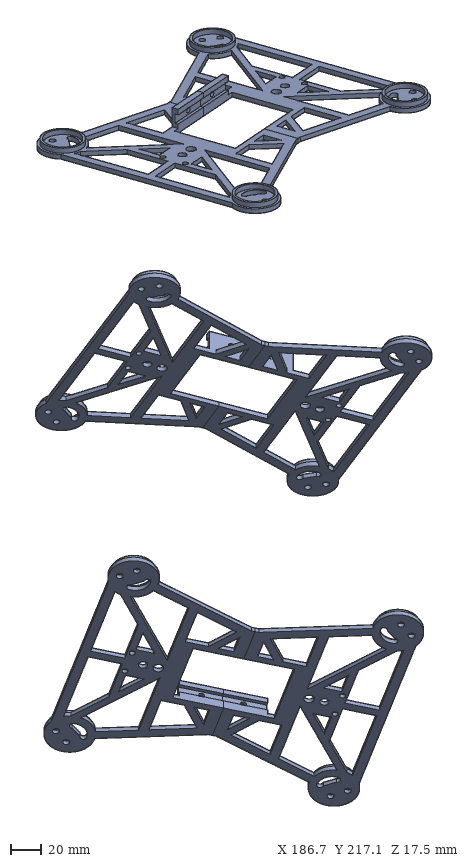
import cadquery as cq
import math


total_x = 186.7
total_y = 217.1
plate_thickness = 3.5

mount_d = 34.3
rim_outer_d = 30.5
rim_inner_d = 26.7
rim_top_z = 7.2
mount_x = (total_x - mount_d) / 2
mount_y = (total_y - mount_d) / 2
screw_d = 4.5
screw_dx = 8.0
screw_dy = 9.5
slot_outer_r = 11.3

end_bar_y = 106.5
bar_width = 6.5
rib_width = 5.6
waist_half_x = 51.0
waist_y = 2.5
leg_slope = 2.9
leg_width_x = 7.0
cross_bar_y = 48.5
diagonal_slope = 0.79
diagonal_height = 6.7
diagonal_foot_x = 8.5

hub_y = 76.2
hub_bar_width = 5.0
hub_half_x = 12.5
hub_screw_d = 4.0
hub_screw_x = 9.0
hub_screw_y = 72.7
small_hole_d = 6.0
small_hole_y = 62.8
large_hole_d = 7.0
large_hole_y = 52.1

opening_half_x = 24.0
opening_half_y = 35.2
strip_width = 4.8
strip_outer_x = opening_half_x + strip_width
waist_bar_y = 8.3
strut_slope = 0.77
strut_low_y = 19.0
strut_height = 6.7

bracket_half_y = 30.6
bracket_top_z = 17.5
bracket_web = 2.4
groove_low_z = 6.7
groove_high_z = 13.5
bracket_hole_d = 4.0
bracket_hole_y = 14.5
bracket_hole_z = 10.0


def leg_outer_x(y):
    """Distance from the YZ plane to the outer edge of a leg."""
    return waist_half_x + (y - waist_y) / leg_slope


def leg_inner_x(y):
    """Distance from the YZ plane to the inner edge of a leg."""
    return leg_outer_x(y) - leg_width_x


def diagonal_x(y):
    """Distance from the YZ plane to the lower edge of a diagonal."""
    return diagonal_foot_x + (y - cross_bar_y) / diagonal_slope


def diagonal_upper_x(y):
    """Distance from the YZ plane to the upper edge of a diagonal."""
    return diagonal_x(y - diagonal_height)


def prism(points, height):
    return cq.Workplane("XY").polyline(points).close().extrude(height)


def both_sides(shape):
    return shape.union(shape.mirror("YZ"))


def discs(diameter, points, z_from, z_to):
    base = cq.Workplane("XY").workplane(offset=z_from)
    return base.pushPoints(points).circle(diameter / 2).extrude(z_to - z_from)


def plate_outline():
    left = [
        (0, 0),
        (-waist_half_x, 0),
        (-waist_half_x, waist_y),
        (-leg_outer_x(mount_y), mount_y),
        (-mount_x, end_bar_y),
        (0, end_bar_y),
    ]
    return both_sides(prism(left, plate_thickness))


def windows():
    """Openings between the bars of the frame."""
    end_window_y = end_bar_y - bar_width
    end_window = [
        (-rib_width / 2, end_window_y),
        (-rib_width / 2, hub_y),
        (-diagonal_upper_x(hub_y), hub_y),
        (-diagonal_upper_x(end_window_y), end_window_y),
    ]

    base_length = leg_inner_x(cross_bar_y) - diagonal_foot_x
    apex_y = cross_bar_y + base_length / (1 / diagonal_slope - 1 / leg_slope)
    outer_window = [
        (-diagonal_foot_x, cross_bar_y),
        (-leg_inner_x(cross_bar_y), cross_bar_y),
        (-leg_inner_x(apex_y), apex_y),
    ]

    hub_window_y = hub_y - hub_bar_width
    hub_foot_y = cross_bar_y + diagonal_height + (hub_half_x - diagonal_foot_x) * diagonal_slope
    hub_window = [
        (-hub_half_x, hub_window_y),
        (-diagonal_upper_x(hub_window_y), hub_window_y),
        (-hub_half_x, hub_foot_y),
    ]

    strut_high_y = strut_low_y + strut_height
    side_window_y = cross_bar_y - bar_width
    gap_x = leg_inner_x(strut_high_y) - strip_outer_x
    corner_y = strut_high_y - gap_x / (1 / strut_slope + 1 / leg_slope)
    side_window = [
        (-leg_inner_x(side_window_y), side_window_y),
        (-strip_outer_x, side_window_y),
        (-strip_outer_x, strut_high_y),
        (-leg_inner_x(corner_y), corner_y),
    ]

    waist_window = [
        (-strip_outer_x, waist_bar_y),
        (-strip_outer_x, strut_low_y),
        (-strip_outer_x - (strut_low_y - waist_bar_y) / strut_slope, waist_bar_y),
    ]

    opening = [
        (0, 0),
        (-opening_half_x, 0),
        (-opening_half_x, opening_half_y),
        (0, opening_half_y),
    ]

    cut = prism(opening, plate_thickness)
    for points in (end_window, outer_window, hub_window, side_window, waist_window):
        cut = cut.union(prism(points, plate_thickness))
    return both_sides(cut)


def hub_holes():
    screw_points = [(-hub_screw_x, hub_screw_y), (hub_screw_x, hub_screw_y)]
    cut = discs(hub_screw_d, screw_points, 0, plate_thickness)
    cut = cut.union(discs(small_hole_d, [(0, small_hole_y)], 0, plate_thickness))
    return cut.union(discs(large_hole_d, [(0, large_hole_y)], 0, plate_thickness))


def motor_mounts():
    """Round pads, each with a raised rim."""
    center = [(-mount_x, mount_y)]
    rim = discs(rim_outer_d, center, plate_thickness, rim_top_z)
    rim = rim.cut(discs(rim_inner_d, center, plate_thickness, rim_top_z))
    return both_sides(discs(mount_d, center, 0, plate_thickness).union(rim))


def mount_holes():
    """Four screw holes per mount; the two facing the frame's middle open into one curved slot."""
    screw_r = screw_d / 2
    screw_points = [(-screw_dx, 0), (screw_dx, 0), (0, screw_dy), (0, -screw_dy)]
    slot_diagonal = slot_outer_r * math.sqrt(0.5)
    slot = (
        cq.Workplane("XY")
        .moveTo(screw_dx + screw_r, 0)
        .threePointArc((slot_diagonal, -slot_diagonal), (0, -screw_dy - screw_r))
        .lineTo(0, -screw_dy + screw_r)
        .lineTo(screw_dx - screw_r, 0)
        .close()
        .extrude(plate_thickness)
    )
    cut = discs(screw_d, screw_points, 0, plate_thickness).union(slot)
    return both_sides(cut.translate((-mount_x, mount_y, 0)))


def bracket():
    """Upright C-section with its groove facing the central opening."""
    outer_x = -strip_outer_x
    web_x = outer_x + bracket_web
    inner_x = -opening_half_x
    profile = [
        (outer_x, plate_thickness),
        (inner_x, plate_thickness),
        (inner_x, groove_low_z),
        (web_x, groove_low_z),
        (web_x, groove_high_z),
        (inner_x, groove_high_z),
        (inner_x, bracket_top_z),
        (outer_x, bracket_top_z),
    ]
    body = cq.Workplane("XZ").polyline(profile).close().extrude(-bracket_half_y)
    hole = (
        cq.Workplane("YZ", origin=(outer_x, 0, 0))
        .center(bracket_hole_y, bracket_hole_z)
        .circle(bracket_hole_d / 2)
        .extrude(strip_width)
    )
    return body.cut(hole)


def frame_half(mirrored):
    half = plate_outline().cut(windows()).cut(hub_holes())
    half = half.union(motor_mounts()).cut(mount_holes())
    half = half.union(bracket())
    if mirrored:
        half = half.mirror("XZ")
    return half


frame_halves = [frame_half(mirrored) for mirrored in (False, True)]

result = cq.Compound.makeCompound([half.val() for half in frame_halves])